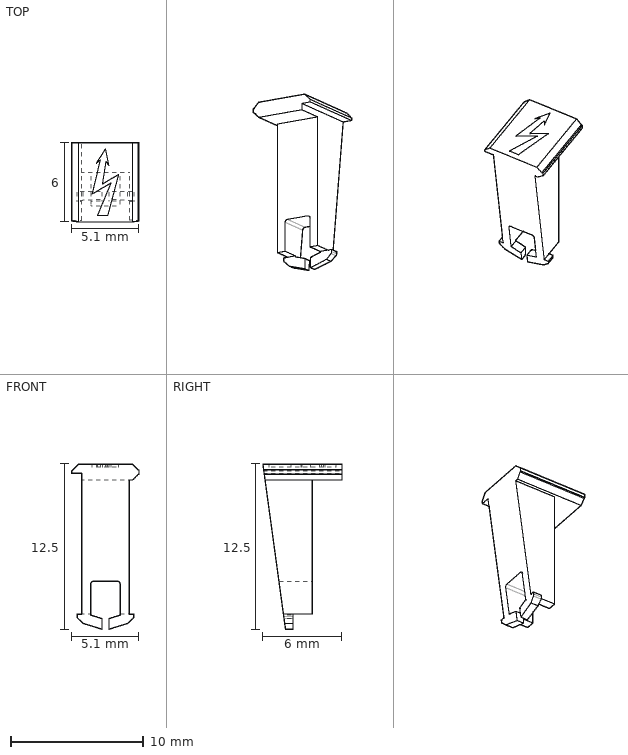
import cadquery as cq
import math


total_height = 12.48
front_y = -3.0
head_back_y = 3.0
front_lean = 7.8

head_half_width = 2.55
head_chamfer = 0.5
top_edge_x = head_half_width - head_chamfer
left_lip_drop = 0.7
right_lip_drop = 1.2
right_rib_depth = 0.09
right_rib_x = head_half_width - right_rib_depth
right_bevel = right_rib_x - top_edge_x
right_rib_rise = 0.04

stem_half_width = 1.8
stem_back_y = 0.74
stem_drop = 11.33

window_half_width = 1.1
window_top_drop = 8.85
window_corner_radius = 0.2
gap_half_width = 0.25

hook_half_width = 2.15
hook_back_y = -0.7
hook_side_drop = 11.51
hook_corner_radius = 0.2
hook_turn = 45
hook_corner_drop = hook_side_drop + hook_corner_radius * math.tan(math.radians(hook_turn / 2))
hook_knee_x = 1.68
hook_knee_drop = 12.04
hook_tip_slope = (total_height - hook_knee_drop) / (hook_knee_x - gap_half_width)
hook_inner_drop = 11.66

arrow_depth = 0.2
arrow_half_length = 2.52
arrow_outline = [
    (0.0, arrow_half_length),
    (0.25, 1.28),
    (0.04, 1.58),
    (-0.23, -0.13),
    (1.0, 0.6),
    (0.17, -arrow_half_length),
    (-0.61, -arrow_half_length),
    (0.42, -0.05),
    (-1.0, -0.88),
    (-0.39, 1.69),
    (-0.69, 1.44),
]


def prism(outline, back_y):
    """Extrude a closed outline of (x, drop) points from the front plane to back_y."""
    points = [(x, -drop) for x, drop in outline]
    plane = cq.Workplane("XZ", origin=(0, back_y, 0))
    return plane.polyline(points).close().extrude(back_y - front_y)


def make_head():
    outline = [
        (-top_edge_x, 0),
        (top_edge_x, 0),
        (right_rib_x, right_bevel),
        (head_half_width, right_bevel + right_rib_rise),
        (head_half_width, right_lip_drop - right_bevel - right_rib_rise),
        (right_rib_x, right_lip_drop - right_bevel),
        (top_edge_x, right_lip_drop),
        (-stem_half_width, right_lip_drop),
        (-stem_half_width, left_lip_drop),
        (-head_half_width, left_lip_drop),
        (-head_half_width, head_chamfer),
    ]
    return prism(outline, head_back_y)


def make_stem():
    outline = [
        (-stem_half_width, 0),
        (stem_half_width, 0),
        (stem_half_width, stem_drop),
        (-stem_half_width, stem_drop),
    ]
    return prism(outline, stem_back_y)


def make_window():
    outline = [
        (-window_half_width, window_top_drop),
        (window_half_width, window_top_drop),
        (window_half_width, stem_drop),
        (-window_half_width, stem_drop),
    ]
    return prism(outline, stem_back_y).edges("|Y and >Z").fillet(window_corner_radius)


def make_hook(side):
    """Hook of one leg; side is -1 for the left one and +1 for the right one."""
    inner_rise = hook_tip_slope * (window_half_width - gap_half_width)
    outline = [
        (hook_half_width, stem_drop),
        (hook_half_width, hook_corner_drop),
        (hook_knee_x, hook_knee_drop),
        (gap_half_width, total_height),
        (gap_half_width, hook_inner_drop),
        (window_half_width, hook_inner_drop - inner_rise),
        (window_half_width, stem_drop),
    ]
    hook = prism([(side * x, drop) for x, drop in outline], hook_back_y)
    mid_y = (front_y + hook_back_y) / 2
    corner = cq.selectors.NearestToPointSelector(
        (side * hook_half_width, mid_y, -hook_corner_drop)
    )
    return hook.edges("|Y").edges(corner).fillet(hook_corner_radius)


def make_front_cut():
    """Wedge in front of the leaning front face."""
    lean_back = total_height * math.tan(math.radians(front_lean))
    side = [(front_y, 0), (front_y, -total_height), (front_y + lean_back, -total_height)]
    plane = cq.Workplane("YZ")
    return plane.polyline(side).close().extrude(head_half_width, both=True)


def make_arrow():
    plane = cq.Workplane("XY", origin=(0, 0, -arrow_depth))
    return plane.polyline(arrow_outline).close().extrude(arrow_depth)


def make_clip():
    clip = make_head().union(make_stem()).cut(make_window())
    for side in (-1, 1):
        clip = clip.union(make_hook(side))
    return clip.cut(make_front_cut()).cut(make_arrow())


clip = make_clip()
arrow = make_arrow()

result = cq.Compound.makeCompound([clip.val(), arrow.val()])